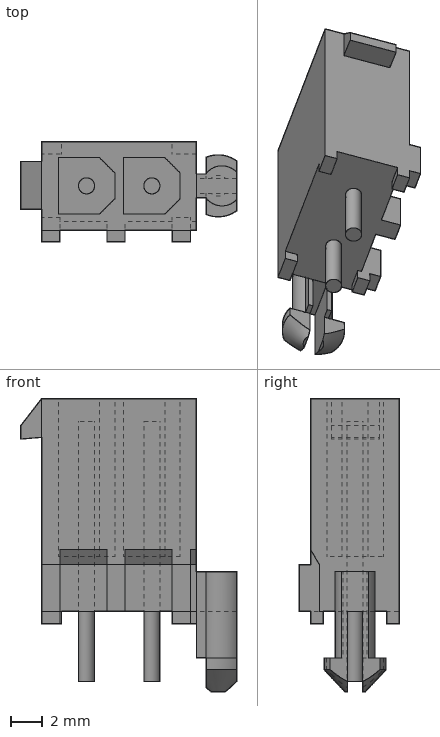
import cadquery as cq


pitch = 4.14
ways = 2
pin_diameter = 1.02
first_pin_x = 2.85
pin_y = 2.815
pin_places = [(first_pin_x + i * pitch, pin_y) for i in range(ways)]

body_length = 9.81
body_depth = 5.62
body_height = 13.47

cavity_size = 3.58
cavity_chamfer = 0.97
cavity_depth = 10.0

rib_width = 1.16
rib_reach = 0.73
rib_height = 2.96

recess_depth = 0.55
recess_height = 3.90

foot_height = 0.80
back_left_foot_length = 1.27
foot_depth = 0.80

latch_reach = 1.32
latch_width = 3.05
latch_front_y = 1.32
latch_ramp_drop = 1.71
latch_tip_drop = 2.57
latch_root_drop = 2.46

pin_top_drop = 1.45
pin_top = body_height - pin_top_drop
pin_bottom = -4.45

lock_top = 2.51
shaft_bottom = -2.95
head_bevel_top = -3.70
lock_bottom = -5.10
neck_length = 0.61
lock_reach = 2.56
lock_left = body_length + neck_length
lock_right = body_length + lock_reach
neck_width = 1.53
shaft_radius = 1.27
shaft_axis_offset = 1.62
shaft_x = body_length + shaft_axis_offset
head_radius = 1.97
head_tip_radius = 0.65
head_axis_offset = 1.38
head_x = body_length + head_axis_offset
slot_width = 0.95
slot_top = 0


def box(x, y, z, length, depth, height):
    """Box placed by its lowest corner."""
    return cq.Workplane("XY").box(length, depth, height, centered=False).translate((x, y, z))


def latch():
    """Wedge on the left wall, ramped from the top edge down to a hooked tip."""
    profile = [
        (0, body_height),
        (-latch_reach, body_height - latch_ramp_drop),
        (-latch_reach, body_height - latch_tip_drop),
        (0, body_height - latch_root_drop),
    ]
    return (
        cq.Workplane("XZ", origin=(0, latch_front_y, 0)).polyline(profile).close().extrude(-latch_width)
    )


def cavity(x, y):
    """Mating cavity centred on a pin, with its two right-hand corners cut off."""
    return (
        cq.Workplane("XY", origin=(x, y, body_height - cavity_depth))
        .rect(cavity_size, cavity_size)
        .extrude(cavity_depth)
        .edges("|Z and >X")
        .chamfer(cavity_chamfer)
    )


def recess(start_x, end_x):
    """Front relief between ribs, open below, with a roof sloping down to the back wall."""
    profile = [
        (0, 0),
        (0, recess_height),
        (recess_depth, rib_height),
        (recess_depth, 0),
    ]
    return (
        cq.Workplane("YZ", origin=(start_x, 0, 0)).polyline(profile).close().extrude(end_x - start_x)
    )


def make_housing():
    """Body with latch, four feet, three front ribs, reliefs, cavities and pin holes."""
    shape = box(0, 0, 0, body_length, body_depth, body_height).union(latch())

    last_rib_x = ways * pitch
    back_foot_y = body_depth - foot_depth
    foot_places = [
        (0, 0, rib_width),
        (last_rib_x, 0, rib_width),
        (0, back_foot_y, back_left_foot_length),
        (last_rib_x, back_foot_y, body_length - last_rib_x),
    ]
    for x, y, length in foot_places:
        shape = shape.union(box(x, y, -foot_height, length, foot_depth, foot_height))

    for i in range(ways + 1):
        rib_x = i * pitch
        shape = shape.union(box(rib_x, -rib_reach, 0, rib_width, rib_reach, rib_height))
        recess_end = min(rib_x + pitch, body_length)
        shape = shape.cut(recess(rib_x + rib_width, recess_end))

    for x, y in pin_places:
        shape = shape.cut(cavity(x, y)).cut(make_pin(x, y))
    return shape


def make_pin(x, y):
    """Straight round pin that passes through the cavity floor."""
    return (
        cq.Workplane("XY", origin=(x, y, pin_bottom))
        .circle(pin_diameter / 2)
        .extrude(pin_top - pin_bottom)
    )


def make_board_lock():
    """Round shaft on a flat neck with a conical snap head, split by a slot from below."""
    shaft = (
        cq.Workplane("XY", origin=(shaft_x, pin_y, shaft_bottom))
        .circle(shaft_radius)
        .extrude(lock_top - shaft_bottom)
    )
    head_profile = [
        (0, shaft_bottom),
        (head_radius, shaft_bottom),
        (head_radius, head_bevel_top),
        (head_tip_radius, lock_bottom),
        (0, lock_bottom),
    ]
    head = (
        cq.Workplane("XZ", origin=(head_x, pin_y, 0))
        .polyline(head_profile)
        .close()
        .revolve(360, (0, 0, 0), (0, 1, 0))
    )
    slot = box(
        body_length, pin_y - slot_width / 2, lock_bottom,
        lock_right - body_length, slot_width, slot_top - lock_bottom,
    )
    flat_sides = box(
        lock_left, pin_y - head_radius, lock_bottom,
        lock_right - lock_left, 2 * head_radius, lock_top - lock_bottom,
    )
    neck = box(
        body_length, pin_y - neck_width / 2, shaft_bottom,
        shaft_x - body_length, neck_width, lock_top - shaft_bottom,
    )
    return shaft.union(head).intersect(flat_sides).union(neck).cut(slot)


housing = make_housing()
pins = [make_pin(x, y) for x, y in pin_places]
board_lock = make_board_lock()

result = cq.Compound.makeCompound(
    [housing.val(), *[pin.val() for pin in pins], board_lock.val()]
)